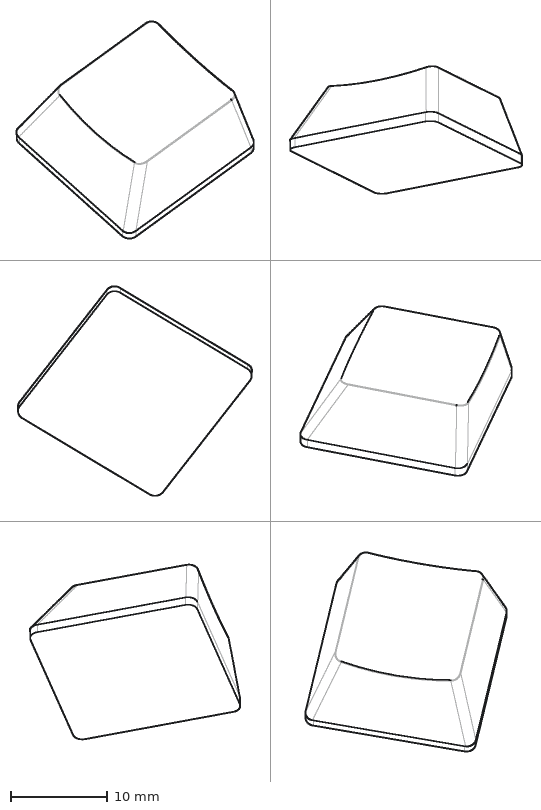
import cadquery as cq

base_size = 18.0
skirt_height = 1.0
corner_radius = 1.0

crown_height = 7.56
crown_width = 13.21
crown_back = 8.42
crown_front = -5.22
crown_depth = crown_back - crown_front
crown_center = (crown_back + crown_front) / 2

dish_radius = 35.28
dish_floor = 6.88

rim_fillet = 0.09


def make_skirt():
    return (
        cq.Workplane("XY")
        .rect(base_size, base_size)
        .extrude(skirt_height)
        .edges("|Z")
        .fillet(corner_radius)
    )


def make_tapered_body():
    """Four-sided taper from the skirt to the crown, with its slanted corners rounded."""
    taper = (
        cq.Workplane("XY")
        .workplane(offset=skirt_height)
        .rect(base_size, base_size)
        .workplane(offset=crown_height - skirt_height)
        .center(0, crown_center)
        .rect(crown_width, crown_depth)
        .loft(ruled=True)
    )
    return taper.edges("not #Z").fillet(corner_radius)


def make_dish_cutter():
    return (
        cq.Workplane("XZ")
        .center(0, dish_floor + dish_radius)
        .circle(dish_radius)
        .extrude(base_size / 2, both=True)
    )


def near_dish_middle():
    """Selector that picks the face closest to the middle of the dish."""
    return cq.selectors.NearestToPointSelector((0, crown_center, dish_floor))


body = make_tapered_body().cut(make_dish_cutter())
body = body.faces(near_dish_middle()).edges().fillet(rim_fillet)
result = make_skirt().union(body)